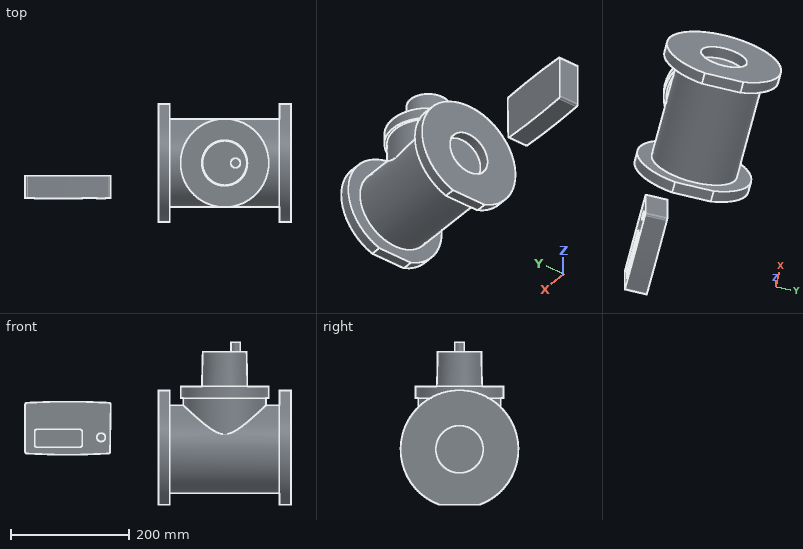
import cadquery as cq


valve_length = 225.0
flange_radius = 100.0
flange_thickness = 20.0
flange_flat_depth = 94.0
pipe_radius = 75.0
port_radius = 40.0
port_depth = flange_thickness

neck_radius = 70.5
cover_radius = pipe_radius
cover_bottom = 86.5
cover_thickness = 20.5
cover_top = cover_bottom + cover_thickness
actuator_bottom_radius = 38.8
actuator_top_radius = 37.5
actuator_height = 58.5
actuator_top = cover_top + actuator_height
stem_radius = 8.0
stem_height = 16.0
stem_offset = 18.5

overall_length = 450.5
box_left = valve_length / 2 - overall_length
box_width = 145.5
box_right = box_left + box_width
box_mid = box_left + box_width / 2
box_right_lean = 1.5
box_depth = 38.5
box_back = -21.0
box_front = box_back - box_depth
box_top = 79.0
box_bottom = -7.0
box_bulge = 2.3
box_corner_radius = 3.5

pad_height = 1.0
display_width = 80.5
display_height = 30.0
display_corner_radius = 4.0
display_left = box_left + 16.0
display_bottom = 3.5
button_radius = 7.0
button_x = box_right - 16.5
button_z = 20.5


def make_flange(start_x):
    """Disc across the X axis with a flat foot at the bottom."""
    disc = cq.Workplane("YZ", origin=(start_x, 0, 0)).circle(flange_radius).extrude(flange_thickness)
    keep_height = flange_radius + flange_flat_depth
    keep = cq.Workplane("XY", origin=(start_x, 0, -flange_flat_depth)).box(
        flange_thickness, 2 * flange_radius, keep_height, centered=(False, True, False)
    )
    return disc.intersect(keep)


def make_port(start_x):
    """Blind round recess tool, as deep as a flange."""
    return cq.Workplane("YZ", origin=(start_x, 0, 0)).circle(port_radius).extrude(port_depth)


def make_bonnet():
    """Neck, cover and tapered actuator revolved about Z, with an off-centre stem on top."""
    profile = [
        (0, 0),
        (neck_radius, 0),
        (neck_radius, cover_bottom),
        (cover_radius, cover_bottom),
        (cover_radius, cover_top),
        (actuator_bottom_radius, cover_top),
        (actuator_top_radius, actuator_top),
        (0, actuator_top),
    ]
    stack = cq.Workplane("XZ").polyline(profile).close().revolve(360, (0, 0, 0), (0, 1, 0))
    stem = cq.Workplane("XY", origin=(stem_offset, 0, actuator_top)).circle(stem_radius).extrude(stem_height)
    return stack.union(stem)


def make_valve():
    pipe = cq.Workplane("YZ", origin=(-valve_length / 2, 0, 0)).circle(pipe_radius).extrude(valve_length)
    valve = pipe.union(make_bonnet())
    for start_x in (-valve_length / 2, valve_length / 2 - flange_thickness):
        valve = valve.union(make_flange(start_x))
    for start_x in (-valve_length / 2, valve_length / 2 - port_depth):
        valve = valve.cut(make_port(start_x))
    return valve


def make_case():
    """Box with gently arched top and bottom and rounded corners."""
    return (
        cq.Workplane("XZ", origin=(0, box_back, 0))
        .moveTo(box_left, box_bottom)
        .lineTo(box_left, box_top)
        .threePointArc((box_mid, box_top + box_bulge), (box_right, box_top))
        .lineTo(box_right - box_right_lean, box_bottom)
        .threePointArc((box_mid, box_bottom - box_bulge), (box_left, box_bottom))
        .close()
        .extrude(box_depth)
        .edges("|Y")
        .fillet(box_corner_radius)
    )


def make_display():
    center_x = display_left + display_width / 2
    center_z = display_bottom + display_height / 2
    return (
        cq.Workplane("XZ", origin=(center_x, box_front, center_z))
        .rect(display_width, display_height)
        .extrude(pad_height)
        .edges("|Y")
        .fillet(display_corner_radius)
    )


def make_button():
    return cq.Workplane("XZ", origin=(button_x, box_front, button_z)).circle(button_radius).extrude(pad_height)


def make_controller():
    return make_case().union(make_display()).union(make_button())


valve = make_valve()
controller = make_controller()

result = cq.Compound.makeCompound([valve.val(), controller.val()])